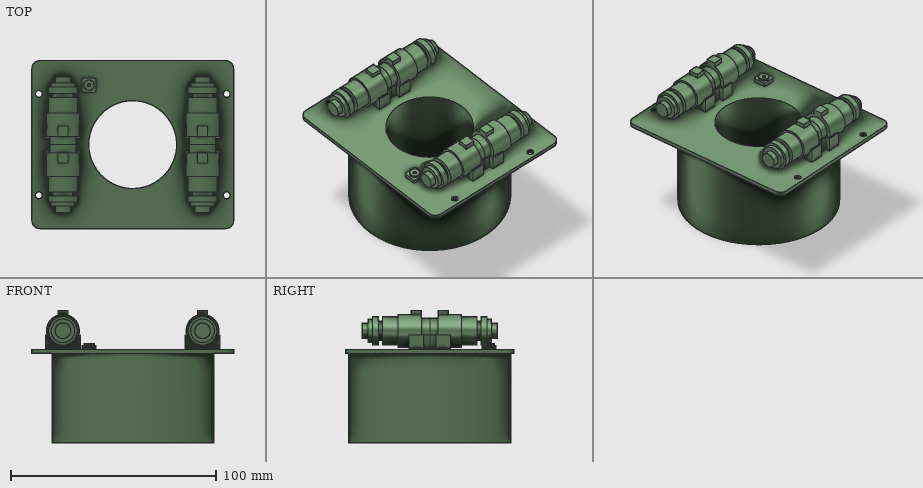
import cadquery as cq


plate_length = 98.4
plate_width = 82.0
plate_thickness = 2.0
corner_radius = 4.0
overall_height = 64.5
can_diameter = 79.0
bore_diameter = 42.7
screw_hole_diameter = 3.2
screw_spacing_x = 91.5
screw_spacing_y = 49.4

connector_spacing = 68.0
axis_height = 9.1
tip_diameter = 7.5
groove_diameter = 9.5
shoulder_diameter = 11.5
neck_diameter = 12.5
barrel_diameter = 14.0
collar_diameter = 16.0
neck_end = 4.0
collar_end = 15.4
barrel_end = 23.0
groove_end = 25.0
ring_end = 27.9
shoulder_end = 30.0
tip_end = 33.0

foot_width = 17.0
foot_height = 7.1
foot_start = 3.05
foot_end = 10.0
tab_top = 19.0
tab_size = 5.0

jack_x = -21.3
jack_y = 28.9
jack_base_size = 6.9
jack_base_height = 2.0
jack_corner_radius = 0.9
jack_barrel_diameter = 5.0
jack_height = 3.0
jack_socket_diameter = 1.5

can_height = overall_height - tab_top - plate_thickness


def make_housing():
    plate = (
        cq.Workplane("XY")
        .workplane(offset=-plate_thickness)
        .rect(plate_length, plate_width)
        .extrude(plate_thickness)
        .edges("|Z")
        .fillet(corner_radius)
    )
    can = (
        cq.Workplane("XY")
        .workplane(offset=-plate_thickness)
        .circle(can_diameter / 2)
        .extrude(-can_height)
    )
    bored = plate.union(can).faces(">Z").workplane(origin=(0, 0, 0)).hole(bore_diameter)
    return (
        bored.faces(">Z")
        .workplane(origin=(0, 0, 0))
        .rect(screw_spacing_x, screw_spacing_y, forConstruction=True)
        .vertices()
        .hole(screw_hole_diameter, plate_thickness)
    )


def block(width, start, end, bottom, top):
    """Box centred on X, from start to end along Y and from bottom to top along Z."""
    box = cq.Workplane("XY").box(width, end - start, top - bottom, centered=(True, False, False))
    return box.translate((0, start, bottom))


def make_connector():
    """Connector above the plate's centre, pointing along +Y."""
    sections = [
        (neck_diameter, neck_end),
        (collar_diameter, collar_end),
        (barrel_diameter, barrel_end),
        (groove_diameter, groove_end),
        (barrel_diameter, ring_end),
        (shoulder_diameter, shoulder_end),
        (tip_diameter, tip_end),
    ]
    outline = cq.Workplane("XY").moveTo(0, 0)
    start = 0
    for diameter, end in sections:
        outline = outline.lineTo(diameter / 2, start).lineTo(diameter / 2, end)
        start = end
    turned = outline.lineTo(0, tip_end).close().revolve(360, (0, 0), (0, 1))
    turned = turned.translate((0, 0, axis_height))

    foot = block(foot_width, foot_start, foot_end, 0, foot_height)
    neck_support = block(neck_diameter, 0, foot_start, 0, foot_height)
    tab = block(tab_size, neck_end, neck_end + tab_size, axis_height, tab_top)
    return turned.union(foot).union(neck_support).union(tab)


def make_jack():
    base = (
        cq.Workplane("XY")
        .rect(jack_base_size, jack_base_size)
        .extrude(jack_base_height)
        .edges("|Z")
        .fillet(jack_corner_radius)
    )
    barrel = cq.Workplane("XY").circle(jack_barrel_diameter / 2).extrude(jack_height)
    socket_depth = jack_height - jack_base_height
    jack = base.union(barrel).faces(">Z").workplane().hole(jack_socket_diameter, socket_depth)
    return jack.translate((jack_x, jack_y, 0))


housing = make_housing()
jack = make_jack()

connector = make_connector()
connectors = []
for x in (-connector_spacing / 2, connector_spacing / 2):
    for turn in (0, 180):
        placed = connector.rotate((0, 0, 0), (0, 0, 1), turn).translate((x, 0, 0))
        connectors.append(placed.val())

result = cq.Compound.makeCompound([housing.val(), jack.val(), *connectors])